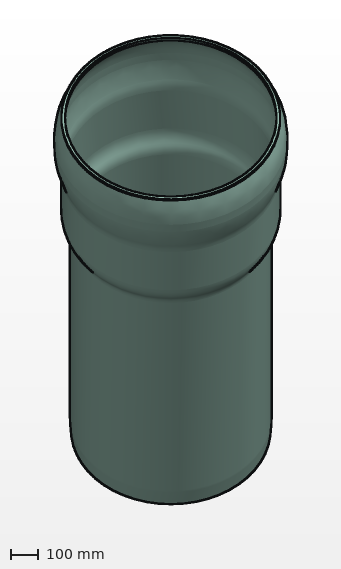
import cadquery as cq
import math

length = 1700.0
wall = 15.0

bead_radius = 842.0 / 2
socket_radius = 792.0 / 2
pipe_radius = 730.0 / 2
mouth_radius = 395.0
spigot_radius = 360.0

spigot_height = 71.0
spigot_bend_length = 8.0
lip_height = 7.0
lip_bottom = length - lip_height
pipe_top = length - 600.0
socket_bottom = length - 495.0
socket_top = length - 287.0
bead_bottom = length - 150.0
bead_top = length - 110.0

pipe_bend_share = 0.35
bead_bend_share = 0.32


def arc_sagitta_radius(rise, drop):
    """Radius of an arc that starts along the axis and drifts sideways by drop over rise."""
    return (rise**2 + drop**2) / (2 * drop)


def flare(profile, small_radius, low, large_radius, high, bend_share, offset):
    """Add a tangent S-bend from the small radius up to the large one.

    bend_share is the part of the height taken by the lower, concave arc.
    offset moves the bend inwards by that distance, keeping the arc centres.
    """
    rise = high - low
    step = large_radius - small_radius
    bend_radius = arc_sagitta_radius(rise, step)
    lower_bend = bend_radius * bend_share + offset
    upper_bend = bend_radius * (1 - bend_share) - offset
    angle = 2 * math.atan2(step, rise)
    lower_centre = small_radius - offset + lower_bend
    upper_centre = large_radius - offset - upper_bend

    def lower_point(turn):
        return (lower_centre - lower_bend * math.cos(turn), low + lower_bend * math.sin(turn))

    def upper_point(turn):
        return (upper_centre + upper_bend * math.cos(turn), high - upper_bend * math.sin(turn))

    profile = profile.threePointArc(lower_point(angle / 2), lower_point(angle))
    return profile.threePointArc(upper_point(angle / 2), upper_point(0))


def solid_of_revolution(offset):
    """Solid bounded by the outer pipe surface moved inwards by offset."""
    half_bend = spigot_bend_length / 2
    taper = (pipe_radius - spigot_radius) / spigot_height
    taper_end_radius = pipe_radius - taper * half_bend
    bend_middle_radius = pipe_radius - taper * half_bend / 4

    profile = (
        cq.Workplane("XZ")
        .lineTo(spigot_radius - offset, 0)
        .lineTo(taper_end_radius - offset, spigot_height - half_bend)
        .threePointArc(
            (bend_middle_radius - offset, spigot_height),
            (pipe_radius - offset, spigot_height + half_bend),
        )
        .lineTo(pipe_radius - offset, pipe_top)
    )
    profile = flare(profile, pipe_radius, pipe_top, socket_radius, socket_bottom, pipe_bend_share, offset)
    profile = profile.lineTo(socket_radius - offset, socket_top)
    profile = flare(profile, socket_radius, socket_top, bead_radius, bead_bottom, bead_bend_share, offset)
    profile = profile.lineTo(bead_radius - offset, bead_top)

    curl_rise = lip_bottom - bead_top
    curl_radius = arc_sagitta_radius(curl_rise, bead_radius - mouth_radius)
    curl_centre = bead_radius - curl_radius
    arc_radius = curl_radius - offset
    end_angle = math.asin(curl_rise / curl_radius)

    def curl_point(turn):
        return (curl_centre + arc_radius * math.cos(turn), bead_top + arc_radius * math.sin(turn))

    profile = profile.threePointArc(curl_point(end_angle / 2), curl_point(end_angle))
    lip_radius = curl_centre + arc_radius * math.cos(end_angle)
    profile = profile.lineTo(lip_radius, length)
    return profile.lineTo(0, length).close().revolve(360, (0, 0, 0), (0, 1, 0))


outside = solid_of_revolution(0)
bore = solid_of_revolution(wall)
result = outside.cut(bore)